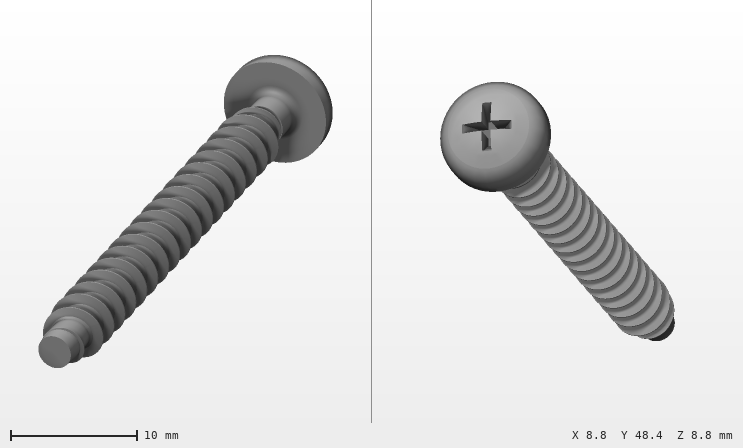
import cadquery as cq
import math


head_radius = 4.4
head_height = 3.37
rim_height = 1.0
rim_round_radius = 1.8

recess_span = 4.4
recess_floor_span = 2.0
recess_depth = 2.0
wing_width = 0.75

shank_length = 45.0
neck_radius = 1.72
neck_length = 2.5
neck_fillet = 0.6
core_radius = 1.5
tip_radius = 1.4
tip_taper_length = 1.5

thread_radius = 2.5
pitch = 2.24
crest_reference_y = -3.5
thread_start_y = -2.0
fade_in_length = 2.3
fade_out_length = 3.6
thread_end_y = -44.8
root_sink = 0.2
root_radius = core_radius - root_sink
end_scale = 0.05
points_per_piece = 24

crest_half_width = 0.06
head_flank_width = 0.43
tip_flank_width = 0.2
flare_width = 0.6
flare_height = 0.2


def make_head():
    """Pan head: a cylindrical rim, a rounded shoulder and a flatter crown, all tangent."""
    shoulder_x = head_radius - rim_round_radius
    rise = head_height - rim_height
    crown_radius = (shoulder_x**2 + rise**2 - rim_round_radius**2) / (2 * (rise - rim_round_radius))
    crown_center_y = head_height - crown_radius
    join_angle = math.atan2(rim_height - crown_center_y, shoulder_x)
    crown_mid_angle = (join_angle + math.pi / 2) / 2

    def on_crown(angle):
        return (crown_radius * math.cos(angle), crown_center_y + crown_radius * math.sin(angle))

    shoulder_mid = (
        shoulder_x + rim_round_radius * math.cos(join_angle / 2),
        rim_height + rim_round_radius * math.sin(join_angle / 2),
    )
    return (
        cq.Workplane("XY")
        .lineTo(head_radius, 0)
        .lineTo(head_radius, rim_height)
        .threePointArc(shoulder_mid, on_crown(join_angle))
        .threePointArc(on_crown(crown_mid_angle), (0, head_height))
        .close()
        .revolve(360, (0, 0, 0), (0, 1, 0))
    )


def make_recess():
    """Two crossed wings that narrow towards the floor of the recess."""
    floor_y = head_height - recess_depth
    wing = (
        cq.Workplane("XY")
        .polyline(
            [
                (-recess_floor_span / 2, floor_y),
                (recess_floor_span / 2, floor_y),
                (recess_span / 2, head_height),
                (-recess_span / 2, head_height),
            ]
        )
        .close()
        .extrude(wing_width / 2, both=True)
    )
    return wing.union(wing.rotate((0, 0, 0), (0, 1, 0), 90))


def make_shank():
    """Neck with a concave fillet under the head, then the thread core and its tapered tip."""
    fillet_mid_inset = neck_fillet * (1 - math.sqrt(0.5))
    return (
        cq.Workplane("XY")
        .moveTo(0, rim_height)
        .lineTo(neck_radius + neck_fillet, rim_height)
        .lineTo(neck_radius + neck_fillet, 0)
        .threePointArc(
            (neck_radius + fillet_mid_inset, -fillet_mid_inset),
            (neck_radius, -neck_fillet),
        )
        .lineTo(neck_radius, -neck_length)
        .lineTo(core_radius, -neck_length)
        .lineTo(core_radius, tip_taper_length - shank_length)
        .lineTo(tip_radius, -shank_length)
        .lineTo(0, -shank_length)
        .close()
        .revolve(360, (0, 0, 0), (0, 1, 0))
    )


def thread_scale(y):
    """Size of the thread profile at height y: it grows and shrinks linearly at the thread ends."""
    grown = min(1, (thread_start_y - y) / fade_in_length, (y - thread_end_y) / fade_out_length)
    return max(end_scale, grown)


def thread_rail(radius, y_offset, start_y, end_y):
    """Spiral edge from start_y to end_y that one corner of the thread profile follows."""
    points = []
    for step in range(points_per_piece + 1):
        y = start_y + (end_y - start_y) * step / points_per_piece
        angle = 2 * math.pi * (y - crest_reference_y) / pitch
        scale = thread_scale(y)
        r = root_radius + scale * (radius - root_radius)
        points.append(cq.Vector(r * math.sin(angle), y + scale * y_offset, r * math.cos(angle)))
    return cq.Edge.makeSpline(points)


def make_thread_piece(start_y, end_y):
    """Piece of the spiral ridge: ruled faces between neighbouring rails and two end caps."""
    profile = [
        (root_radius, head_flank_width),
        (thread_radius, crest_half_width),
        (thread_radius, -crest_half_width),
        (core_radius + flare_height, -tip_flank_width),
        (root_radius, -flare_width),
    ]
    rails = [thread_rail(radius, y_offset, start_y, end_y) for radius, y_offset in profile]
    faces = []
    for index, rail in enumerate(rails):
        faces.append(cq.Face.makeRuledSurface(rails[index - 1], rail))
    for end in (0, 1):
        corners = [rail.positionAt(end) for rail in rails]
        faces.append(cq.Face.makeFromWires(cq.Wire.makePolygon(corners, close=True)))
    return cq.Solid.makeSolid(cq.Shell.makeShell(faces))


def add_thread(body):
    """Join the thread to the body one piece after another, from the head to the tip."""
    full_start_y = thread_start_y - fade_in_length
    full_end_y = thread_end_y + fade_out_length
    full_pieces = math.ceil((full_start_y - full_end_y) / pitch)
    joints = [thread_start_y]
    for index in range(full_pieces + 1):
        joints.append(full_start_y + (full_end_y - full_start_y) * index / full_pieces)
    joints.append(thread_end_y)
    for start_y, end_y in zip(joints, joints[1:]):
        body = body.union(cq.Workplane(make_thread_piece(start_y, end_y)))
    return body


screw_blank = make_head().union(make_shank()).cut(make_recess())
result = add_thread(screw_blank)